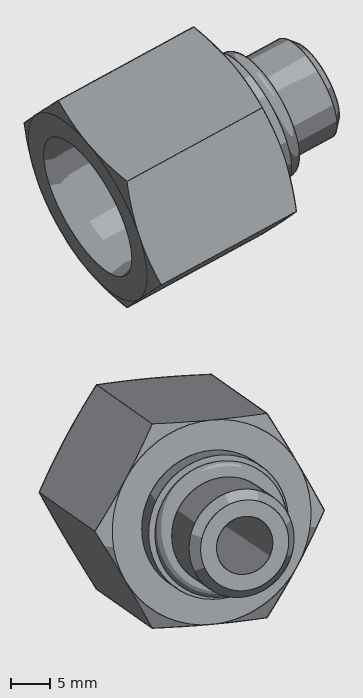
import cadquery as cq
import math

across_flats = 27.0
hex_length = 22.4
hex_chamfer_angle = 20.0

collar_diameter = 19.0
collar_length = 2.6
neck_diameter = 14.27
total_length = 34.8
neck_chamfer = 1.15

ring_thickness = 2.1
ring_outer_diameter = 17.92

socket_diameter = 19.0
socket_depth = 17.4
mouth_diameter = 20.05
mouth_taper_length = 2.6
through_diameter = 7.65

across_corners = across_flats / math.cos(math.radians(30))
collar_end = hex_length + collar_length


def cylinder(diameter, start, end):
    """Solid cylinder about the Y axis between two Y positions."""
    return cq.Workplane("XZ", origin=(0, start, 0)).circle(diameter / 2).extrude(start - end)


def revolve_about_y(profile):
    return profile.close().revolve(360, (0, 0, 0), (0, 1, 0))


def hex_body():
    """Hexagon with corners on X, both ends turned to a cone that meets the flats."""
    hexagon = cq.Workplane("XZ").polygon(6, across_corners).extrude(-hex_length)
    end_radius = across_flats / 2
    corner_radius = across_corners / 2
    drop = (corner_radius - end_radius) * math.tan(math.radians(hex_chamfer_angle))
    envelope = revolve_about_y(
        cq.Workplane("XY")
        .lineTo(end_radius, 0)
        .lineTo(corner_radius, drop)
        .lineTo(corner_radius, hex_length - drop)
        .lineTo(end_radius, hex_length)
        .lineTo(0, hex_length)
    )
    return hexagon.intersect(envelope)


def neck():
    return cylinder(neck_diameter, hex_length, total_length).faces(">Y").chamfer(neck_chamfer)


def sealing_ring():
    """Flat-sided ring with a fully rounded outer edge."""
    section_radius = ring_thickness / 2
    ring_radius = ring_outer_diameter / 2
    rounding_start = ring_radius - section_radius
    ring_end = collar_end + ring_thickness
    return revolve_about_y(
        cq.Workplane("XY")
        .moveTo(0, collar_end)
        .lineTo(rounding_start, collar_end)
        .threePointArc((ring_radius, collar_end + section_radius), (rounding_start, ring_end))
        .lineTo(0, ring_end)
    )


def socket():
    """Blind bore with a conical lead-in at its mouth."""
    return revolve_about_y(
        cq.Workplane("XY")
        .lineTo(mouth_diameter / 2, 0)
        .lineTo(socket_diameter / 2, mouth_taper_length)
        .lineTo(socket_diameter / 2, socket_depth)
        .lineTo(0, socket_depth)
    )


collar = cylinder(collar_diameter, hex_length, collar_end)
through_hole = cylinder(through_diameter, 0, total_length)

result = hex_body().union(collar).union(neck()).union(sealing_ring())
result = result.cut(socket()).cut(through_hole)